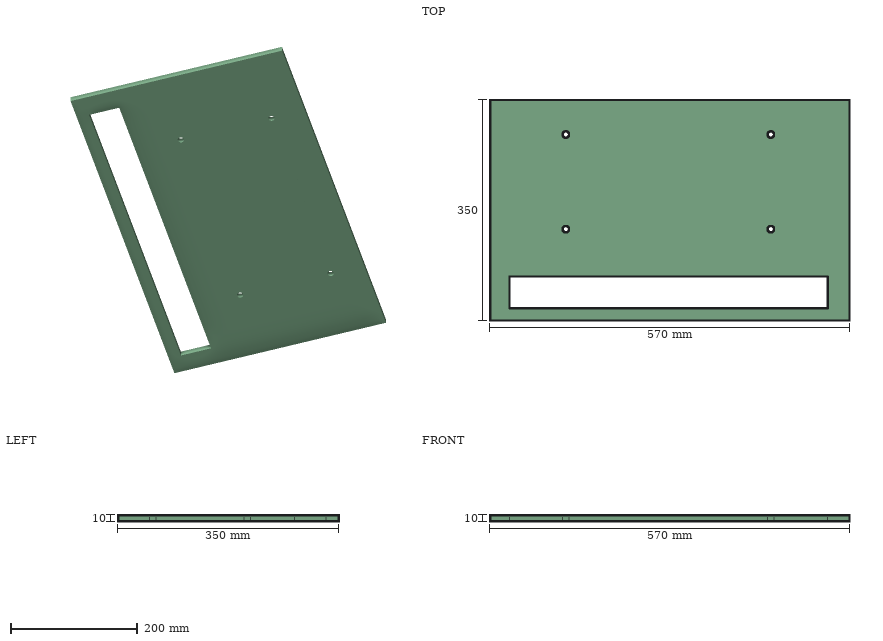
import cadquery as cq

plate_length = 570.0
plate_width = 350.0
plate_thickness = 10.0

window_length = 504.0
window_width = 50.0
window_left_margin = 31.0
window_front_margin = 20.0

hole_diameter = 10.0
hole_spacing_x = 325.0
hole_spacing_y = 150.0
hole_left_margin = 120.0
hole_back_margin = 55.0

window_center_x = -plate_length / 2 + window_left_margin + window_length / 2
window_center_y = -plate_width / 2 + window_front_margin + window_width / 2
hole_center_x = -plate_length / 2 + hole_left_margin + hole_spacing_x / 2
hole_center_y = plate_width / 2 - hole_back_margin - hole_spacing_y / 2


def make_plate():
    return cq.Workplane("XY").rect(plate_length, plate_width).extrude(plate_thickness)


def make_window():
    return (
        cq.Workplane("XY")
        .center(window_center_x, window_center_y)
        .rect(window_length, window_width)
        .extrude(plate_thickness)
    )


def make_holes():
    return (
        cq.Workplane("XY")
        .center(hole_center_x, hole_center_y)
        .rect(hole_spacing_x, hole_spacing_y, forConstruction=True)
        .vertices()
        .circle(hole_diameter / 2)
        .extrude(plate_thickness)
    )


result = make_plate().cut(make_window()).cut(make_holes())